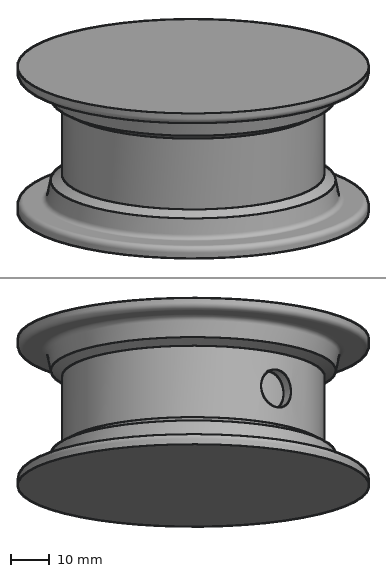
import cadquery as cq

height = 39.0
rim_diameter = 91.0
drum_diameter = 68.0

rim_thickness = 3.0
rim_edge_fillet = 1.5
hub_root_fillet = 1.5
hub_tip_radius = 36.9
hub_tip_height = 8.4
hub_root_radius = 38.0
drum_start_height = 10.0

hole_diameter = 10.0
hole_depth = 3.0

rim_radius = rim_diameter / 2
drum_radius = drum_diameter / 2
half_height = height / 2

tolerance = 0.1


def circle_at(radius, z):
    """Selector for the circular edge of this radius around the Z axis at this height."""
    reach = radius + tolerance
    inside = cq.selectors.BoxSelector(
        (-reach, -reach, z - tolerance), (reach, reach, z + tolerance), boundingbox=True
    )
    core = radius - tolerance
    smaller = cq.selectors.BoxSelector(
        (-core, -core, z - tolerance), (core, core, z + tolerance), boundingbox=True
    )
    return inside - smaller


def lower_half():
    """Lower half of the spool, from the flat base at Z = 0 to the middle plane."""
    profile = (
        cq.Workplane("XZ")
        .moveTo(0, 0)
        .lineTo(rim_radius, 0)
        .lineTo(rim_radius, rim_thickness)
        .lineTo(hub_root_radius, rim_thickness)
        .lineTo(hub_tip_radius, hub_tip_height)
        .lineTo(drum_radius, drum_start_height)
        .lineTo(drum_radius, half_height)
        .lineTo(0, half_height)
        .close()
    )
    half = profile.revolve(360, (0, 0, 0), (0, 1, 0))
    half = half.edges(circle_at(rim_radius, rim_thickness)).fillet(rim_edge_fillet)
    return half.edges(circle_at(hub_root_radius, rim_thickness)).fillet(hub_root_fillet)


def hole_cutter():
    """Pin-shaped cutter on the -X side; its inner end is concentric with the drum."""
    pin = (
        cq.Workplane("YZ", origin=(-rim_radius, 0, half_height))
        .circle(hole_diameter / 2)
        .extrude(rim_radius)
    )
    core = cq.Workplane("XY").circle(drum_radius - hole_depth).extrude(height)
    return pin.cut(core)


lower = lower_half()
upper = lower.mirror("XY", (0, 0, half_height))
result = lower.union(upper).cut(hole_cutter())